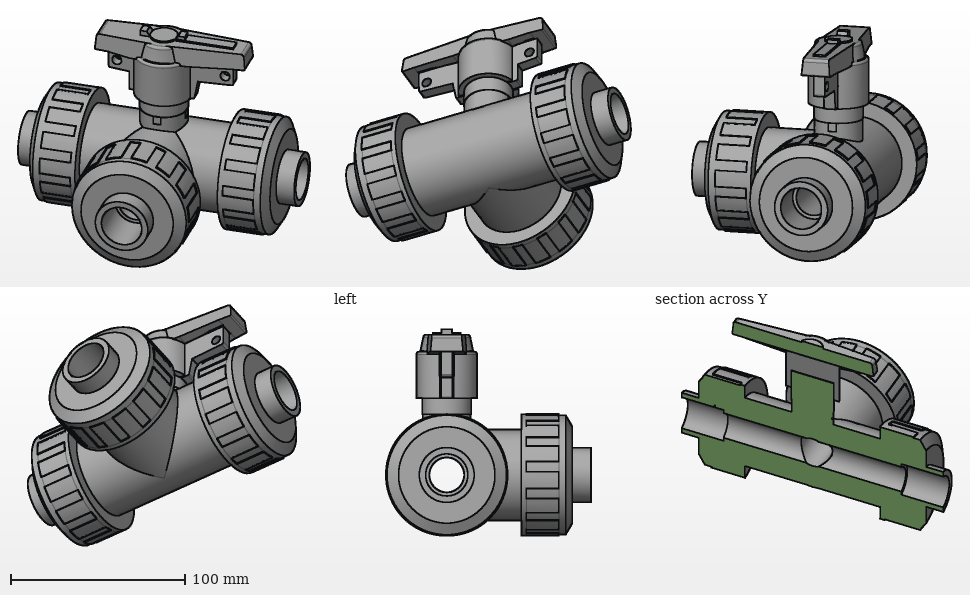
import cadquery as cq
import math


arm_length = 83.0
body_radius = 26.2
stub_radius = 15.8
bore_radius = 10.0
socket_radius = 12.1
socket_depth = 26.5
arm_headings = (0, 90, 180)

nut_back = 42.8
nut_front = 72.2
nut_chamfer_start = 68.4
nut_face_radius = 27.7
nut_radius = 34.4
grip_radius = 35.0
grip_front = 64.2
groove_back = 45.8
groove_count = 14
groove_angle = 10.0

stem_radius = 14.1
stem_foot_radius = 14.0
stem_top = 57.0
notch_top = 34.9
notch_height = 5.0
notch_width = 4.6
notch_depth = 0.3
notch_headings = (0, 90, 180)

hub_radius = 17.5
hub_bottom = 44.2
hub_top = 70.9
hub_fillet = 1.5
crown_base_radius = 15.3
crown_top_radius = 13.3
crown_fillet = 1.8
crown_foot_fillet = 0.5

bar_bottom = 69.2
bar_end_bottom = 70.7
bar_top = 80.7
bar_left = -39.0
bar_right = 51.3
bar_half_width = 12.3
bar_narrowing = 0.072
bar_draft = 5.5
bar_end_fillet = 2.0
bar_lower_fillet = 0.8
bar_end_flat = 8.3

fin_thickness = 6.5
fin_slot_width = 8.3
fin_left = -32.4
fin_right = 42.7
fin_bottom = 56.8
fin_root_bottom = 55.8
tab_left = -20.0
tab_right = 21.2
tab_right_foot = 19.1
fin_corner_fillet = 1.3
tab_fillet = 0.8
fin_hole_radius = 2.8
fin_hole_inset = 5.0
fin_hole_height = 62.1

disc_radius = 8.0
disc_top = 81.7
strip_width = 7.0
lug_width = 6.3
lug_outer = 13.5
lug_crest_inner = 9.5
lug_foot_inner = 7.8
lug_top = 83.8


def disc(radius, bottom, top):
    """Upright cylinder about the stem axis."""
    return cq.Workplane("XY").workplane(offset=bottom).circle(radius).extrude(top - bottom)


def arm_cylinder(radius, start, end):
    """Cylinder about the -X arm axis between two distances from the origin."""
    return cq.Workplane("YZ").workplane(offset=-end).circle(radius).extrude(end - start)


def on_every_arm(shape):
    """Union of copies of a -X arm shape, one for each arm."""
    copies = cq.Workplane("XY")
    for heading in arm_headings:
        copies = copies.union(shape.rotate((0, 0, 0), (0, 0, 1), heading))
    return copies


def around_arm(radius, angle):
    """Point at a radius from the arm axis; the angle starts at the top and turns towards -Y."""
    turn = math.radians(angle)
    return (-radius * math.sin(turn), radius * math.cos(turn))


def nut_grip():
    """Middle length of the nut: raised pads between narrow grooves, first pad starting at the top."""
    pad_pitch = 360 / groove_count
    pad_angle = pad_pitch - groove_angle
    outline = cq.Workplane("YZ").workplane(offset=-grip_front).moveTo(*around_arm(grip_radius, 0))
    for index in range(groove_count):
        pad_start = index * pad_pitch
        pad_end = pad_start + pad_angle
        next_pad = pad_start + pad_pitch
        outline = (
            outline.threePointArc(
                around_arm(grip_radius, pad_start + pad_angle / 2), around_arm(grip_radius, pad_end)
            )
            .lineTo(*around_arm(nut_radius, pad_end))
            .threePointArc(
                around_arm(nut_radius, pad_end + groove_angle / 2), around_arm(nut_radius, next_pad)
            )
            .lineTo(*around_arm(grip_radius, next_pad))
        )
    return outline.close().extrude(grip_front - groove_back)


def union_nut():
    """Rear collar, grooved grip and tapered front, end to end."""
    collar = arm_cylinder(grip_radius, nut_back, groove_back)
    front = (
        cq.Workplane("XZ")
        .moveTo(-grip_front, 0)
        .lineTo(-grip_front, nut_radius)
        .lineTo(-nut_chamfer_start, nut_radius)
        .lineTo(-nut_front, nut_face_radius)
        .lineTo(-nut_front, 0)
        .close()
        .revolve(360, (0, 0, 0), (1, 0, 0))
    )
    return collar.union(nut_grip()).union(front)


def valve_body():
    """Tee of three pipe arms, each with its union nut and stub, still solid."""
    arm = arm_cylinder(body_radius, 0, nut_back)
    arm = arm.union(union_nut())
    arm = arm.union(arm_cylinder(stub_radius, nut_front, arm_length))
    return on_every_arm(arm)


def port_bores():
    """Through passage and branch, widened to a socket at every stub."""
    bore = arm_cylinder(bore_radius, 0, arm_length)
    socket = arm_cylinder(socket_radius, arm_length - socket_depth, arm_length)
    return on_every_arm(bore.union(socket))


def stem():
    """Stem standing on the body, with small notches around its foot."""
    post = disc(stem_foot_radius, 0, notch_top)
    notch = cq.Workplane("XY").box(2 * notch_depth, notch_width, notch_height)
    notch = notch.translate((-stem_foot_radius, 0, notch_top - notch_height / 2))
    for heading in notch_headings:
        post = post.cut(notch.rotate((0, 0, 0), (0, 0, 1), heading))
    return post.union(disc(stem_radius, notch_top, stem_top))


def hub():
    """Sleeve around the stem that carries a tapered round crown rising through the handle bar."""
    sleeve = disc(hub_radius, hub_bottom, hub_top).faces(">Z").edges().fillet(hub_fillet)
    crown_height = bar_top - hub_top
    draft = math.degrees(math.atan((crown_base_radius - crown_top_radius) / crown_height))
    crown = cq.Workplane("XY").workplane(offset=hub_top)
    crown = crown.circle(crown_base_radius).extrude(crown_height, taper=draft)
    crown = crown.faces(">Z").edges().fillet(crown_fillet)
    shape = sleeve.union(crown)
    ring = cq.selectors.NearestToPointSelector((0, 0, hub_top))
    foot_edge = cq.selectors.RadiusNthSelector(0)
    return shape.faces("|Z").faces(ring).edges(foot_edge).fillet(crown_foot_fillet)


def fin_slot():
    """Slot that runs lengthwise through the hub and the underside of the bar, clear of the fin."""
    length = bar_right - bar_left
    height = bar_end_bottom - hub_bottom
    slot = cq.Workplane("XY").box(length, fin_slot_width, height, centered=(False, True, False))
    return slot.translate((bar_left, 0, hub_bottom))


def handle_bar():
    """Drafted bar, widest at the stem, with an underside that rises towards both ends."""
    left_half_width = bar_half_width + bar_narrowing * bar_left
    right_half_width = bar_half_width - bar_narrowing * bar_right
    outline = [
        (bar_left, -left_half_width),
        (0, -bar_half_width),
        (bar_right, -right_half_width),
        (bar_right, right_half_width),
        (0, bar_half_width),
        (bar_left, left_half_width),
    ]
    bar = cq.Workplane("XY").workplane(offset=bar_bottom).polyline(outline).close()
    bar = bar.extrude(bar_top - bar_bottom, taper=bar_draft)
    bar = bar.faces(">Z").edges("|Y").fillet(bar_end_fillet)
    for end, side in ((bar_left, -1), (bar_right, 1)):
        flat_start = end - side * bar_end_flat
        beyond_end = end + side * bar_end_flat
        relief = [
            (side * hub_radius, bar_bottom),
            (flat_start, bar_end_bottom),
            (beyond_end, bar_end_bottom),
            (beyond_end, bar_bottom),
        ]
        relief_cut = cq.Workplane("XZ").polyline(relief).close().extrude(bar_half_width, both=True)
        bar = bar.cut(relief_cut)
        lower_edge = cq.selectors.NearestToPointSelector((end, 0, bar_end_bottom))
        bar = bar.edges("|Y").edges(lower_edge).fillet(bar_lower_fillet)
    return bar


def fin():
    """Upright plate under the bar with a padlock hole near each end."""
    profile = [
        (fin_left, bar_end_bottom),
        (fin_left, fin_bottom),
        (tab_left, fin_root_bottom),
        (tab_left, hub_bottom),
        (tab_right_foot, hub_bottom),
        (tab_right, fin_root_bottom),
        (fin_right, fin_bottom),
        (fin_right, bar_end_bottom),
    ]
    plate = cq.Workplane("XZ").polyline(profile).close().extrude(fin_thickness / 2, both=True)
    rounded_corners = [
        (fin_left, fin_bottom, fin_corner_fillet),
        (fin_right, fin_bottom, fin_corner_fillet),
        (tab_left, hub_bottom, tab_fillet),
        (tab_right_foot, hub_bottom, tab_fillet),
    ]
    for corner_x, corner_z, radius in rounded_corners:
        corner = cq.selectors.NearestToPointSelector((corner_x, 0, corner_z))
        plate = plate.edges("|Y").edges(corner).fillet(radius)
    hole_places = [
        (fin_left + fin_hole_inset, fin_hole_height),
        (fin_right - fin_hole_inset, fin_hole_height),
    ]
    holes = cq.Workplane("XZ").pushPoints(hole_places).circle(fin_hole_radius)
    return plate.cut(holes.extrude(fin_thickness, both=True))


def indicator():
    """Raised disc and strip with a pointed lug on either side of the disc."""
    thickness = disc_top - bar_top
    strip = cq.Workplane("XY").box(fin_right, strip_width, thickness, centered=(False, True, False))
    marks = disc(disc_radius, bar_top, disc_top).union(strip.translate((0, 0, bar_top)))
    for side in (-1, 1):
        lug = [
            (side * lug_outer, bar_top),
            (side * lug_outer, lug_top),
            (side * lug_crest_inner, lug_top),
            (side * lug_foot_inner, disc_top),
            (side * lug_foot_inner, bar_top),
        ]
        marks = marks.union(cq.Workplane("XZ").polyline(lug).close().extrude(lug_width / 2, both=True))
    return marks


handle = hub().union(handle_bar()).cut(fin_slot()).union(fin()).union(indicator())
result = valve_body().union(stem()).cut(port_bores()).union(handle)